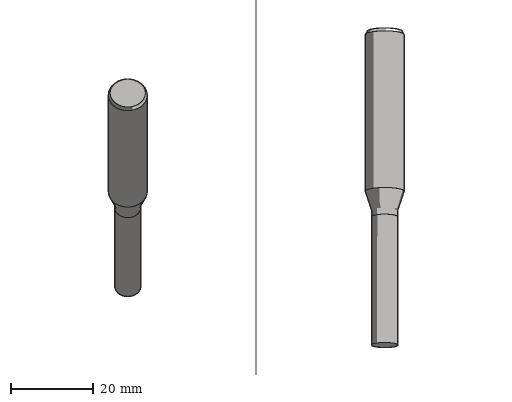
import cadquery as cq

total_length = 77.8
shank_diameter = 9.5
neck_diameter = 6.4
cutter_length = 31.8
neck_length = 1.55
taper_length = 4.75
chamfer_height = 0.85
chamfer_width = 0.5

shank_radius = shank_diameter / 2
neck_radius = neck_diameter / 2
taper_start = cutter_length + neck_length
taper_end = taper_start + taper_length


def make_shank():
    """Round shank that tapers down to a short neck, with a chamfered top rim."""
    half_profile = (
        cq.Workplane("XZ")
        .moveTo(0, cutter_length)
        .lineTo(neck_radius, cutter_length)
        .lineTo(neck_radius, taper_start)
        .lineTo(shank_radius, taper_end)
        .lineTo(shank_radius, total_length - chamfer_height)
        .lineTo(shank_radius - chamfer_width, total_length)
        .lineTo(0, total_length)
        .close()
    )
    return half_profile.revolve(360, (0, 0, 0), (0, 1, 0))


def make_cutter():
    """Plain round cutter blank below the neck."""
    return cq.Workplane("XY").circle(neck_radius).extrude(cutter_length)


shank = make_shank()
cutter = make_cutter()

result = cq.Compound.makeCompound([shank.val(), cutter.val()])